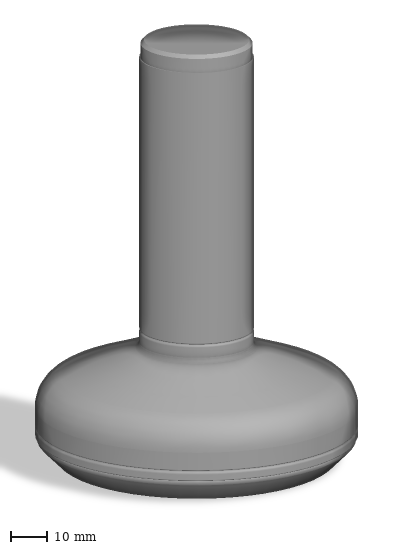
import cadquery as cq

height = 120.6
rim_radius = 44.5

pad_height = 9.9
ring_bottom_z = 7.0
ring_top_fillet = 1.0
lip_radius = 44.0
lip_cone_height = 5.9
lip_corner_fillet = 1.2

shoulder_z = 15.2
cone_base_radius = 37.9
cone_base_z = 24.5
stem_radius = 15.8
collar_base_z = 32.8
collar_base_fillet = 1.6
collar_top_z = 37.6
collar_top_fillet = 0.8

tip_radius = 15.5
tip_length = 5.0
tip_chamfer = 1.0

groove_fillet = 0.4


def disc(radius, bottom_z, top_z):
    """Plain cylinder on the Z axis between two heights."""
    return cq.Workplane("XY").workplane(offset=bottom_z).circle(radius).extrude(top_z - bottom_z)


def make_pad():
    """Ring and lip as one solid, with a rounded groove where they meet."""
    ring = disc(rim_radius, ring_bottom_z, pad_height)
    ring = ring.faces(">Z").edges().fillet(ring_top_fillet)
    ring = ring.faces("<Z").edges().fillet(groove_fillet)

    lip = disc(lip_radius, 0, ring_bottom_z).faces("<Z").chamfer(lip_cone_height)
    lip = lip.faces("%CONE").edges("%CIRCLE").fillet(lip_corner_fillet)
    lip = lip.faces(">Z").edges().fillet(groove_fillet)
    return ring.union(lip)


def make_flared_base():
    """Rim, shoulder, cone and collar of the foot, turned about the Z axis."""
    profile = (
        cq.Workplane("XZ")
        .moveTo(0, pad_height)
        .lineTo(rim_radius, pad_height)
        .lineTo(rim_radius, shoulder_z)
        .tangentArcPoint((cone_base_radius, cone_base_z), relative=False)
        .lineTo(stem_radius, collar_base_z)
        .lineTo(stem_radius, collar_top_z)
        .lineTo(0, collar_top_z)
        .close()
    )
    base = profile.revolve(360, (0, 0, 0), (0, 1, 0))
    base = base.faces("%CONE").edges(">Z").fillet(collar_base_fillet)
    base = base.faces(">Z").edges().fillet(collar_top_fillet)
    return base.faces("<Z").edges().fillet(groove_fillet)


def make_stem():
    """Shank standing on the collar, with the tip on its upper end."""
    tip_z = height - tip_length
    shank = disc(stem_radius, collar_top_z, tip_z).faces("<Z").edges().fillet(groove_fillet)
    tip = disc(tip_radius, tip_z, height).faces(">Z").chamfer(tip_chamfer)
    return shank.union(tip)


def make_foot():
    """Flared base and stem as one solid."""
    return make_flared_base().union(make_stem())


pad = make_pad()
foot = make_foot()

result = cq.Compound.makeCompound([pad.solids().val(), foot.solids().val()])